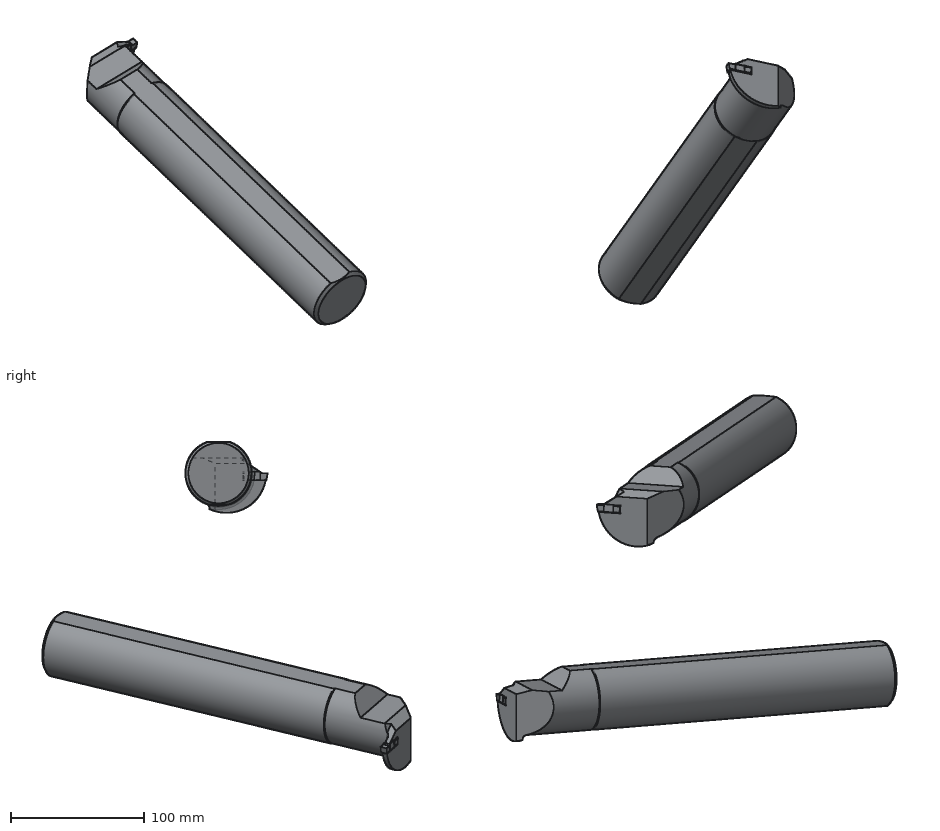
import cadquery as cq
import math

total_length = 300.0
total_width = 62.0

shank_diameter = 50.0
shank_radius = shank_diameter / 2
flat_height = 23.5
end_chamfer = 2.5

neck_diameter = 49.5
neck_radius = neck_diameter / 2
neck_end = 58.8
shoulder_length = 1.0

face_x = 0.3
face_height = 7.5
ledge_height = 11.7
ramp_end = 9.5
ledge_end = 30.0

corner_y = -3.0

blade_radius = 30.0
blade_offset = 6.0
blade_thickness = 4.0
blade_fillet = 2.5

clearance_floor_end = 6.3
clearance_end_lean = 0.8

tip_y = total_width - shank_radius
insert_inner_y = 18.3
insert_top = 1.0
insert_bottom = -5.5
insert_thickness = 5.0
end_clearance = 1.05
head_length = 5.7
head_slope_length = 1.35
bottom_chamfer = 0.75
face_tilt = 1.0

blade_back = face_x + blade_thickness
insert_middle_y = (tip_y + insert_inner_y) / 2
head_top_length = head_length - head_slope_length
clearance_slope = insert_top / head_slope_length
waist_length = tip_y - insert_inner_y - 2 * head_length

tool_size = 4 * shank_radius


def make_bar():
    """Neck, shoulder, shank and end chamfer as one turned profile."""
    profile = [
        (face_x, 0),
        (face_x, neck_radius),
        (neck_end, neck_radius),
        (neck_end + shoulder_length, shank_radius),
        (total_length - end_chamfer, shank_radius),
        (total_length, shank_radius - end_chamfer),
        (total_length, 0),
    ]
    return cq.Workplane("XY").polyline(profile).close().revolve(360, (0, 0), (1, 0))


def make_flat_cuts():
    """Slabs that cut the top flat over the full length and the bottom flat on the shank."""
    shank_length = total_length - neck_end
    top_slab = cq.Workplane("XY").box(
        total_length, tool_size, tool_size, centered=(False, True, False)
    ).translate((0, 0, flat_height))
    bottom_slab = cq.Workplane("XY").box(
        shank_length, tool_size, tool_size, centered=(False, True, False)
    ).translate((neck_end, 0, -flat_height - tool_size))
    return top_slab.union(bottom_slab)


def make_blade():
    """Eccentric disc at the front, with a concave fillet running into the neck."""
    fillet_end = blade_back + blade_fillet
    disc_plane = cq.Workplane("YZ", origin=(face_x, blade_offset, 0))
    plate = disc_plane.circle(blade_radius).extrude(blade_thickness)
    envelope = disc_plane.circle(blade_radius).extrude(blade_thickness + blade_fillet)
    sag = blade_fillet * (1 - math.sqrt(0.5))
    collar = (
        cq.Workplane("XY")
        .moveTo(blade_back, 0)
        .lineTo(blade_back, neck_radius + blade_fillet)
        .threePointArc((blade_back + sag, neck_radius + sag), (fillet_end, neck_radius))
        .lineTo(fillet_end, 0)
        .close()
        .revolve(360, (0, 0), (1, 0))
    )
    return plate.union(collar.intersect(envelope))


def make_top_relief():
    """Space above the front ramp, the flat ledge and the 45 degree rise to the top flat."""
    rise = tool_size
    outline = [
        (face_x, face_height),
        (ramp_end, ledge_height),
        (ledge_end, ledge_height),
        (ledge_end + rise, ledge_height + rise),
        (face_x, ledge_height + rise),
    ]
    return cq.Workplane("XZ").polyline(outline).close().extrude(tool_size / 2, both=True)


def make_corner_cut():
    """45 degree cut from the cutting face to the -Y side."""
    outline = [
        (face_x, corner_y),
        (face_x + tool_size, corner_y - tool_size),
        (face_x, corner_y - tool_size),
    ]
    return cq.Workplane("XY").polyline(outline).close().extrude(tool_size / 2, both=True)


def make_chip_clearance():
    """Prism along the sloping floor above the insert, closed by a wall leaning back to the shank."""
    reach = tool_size / 2
    floor_plane = cq.Plane(
        origin=(0, insert_middle_y + waist_length / 2, insert_top),
        xDir=(1, 0, 0),
        normal=(0, -1, clearance_slope),
    )
    section = [
        (0, 0),
        (clearance_floor_end, 0),
        (clearance_floor_end + reach * clearance_end_lean, reach),
        (0, reach),
    ]
    return cq.Workplane(floor_plane).polyline(section).close().extrude(reach, both=True)


def make_seat():
    """Straight slot through the blade, deepened behind the inner end of the insert."""
    seat_height = insert_top - insert_bottom
    corner = (0, insert_inner_y, insert_bottom)
    slot = cq.Workplane("XY").box(blade_back, tool_size, seat_height, centered=False)
    inner_pocket = cq.Workplane("XY").box(insert_thickness, head_length, seat_height, centered=False)
    return slot.union(inner_pocket).translate(corner)


def make_insert():
    """Double-ended insert; its waist is as deep as the blade and leans back at the front."""
    half = (tip_y - insert_inner_y) / 2
    waist_half = waist_length / 2
    profile = [
        (half, 0),
        (half - head_top_length, 0),
        (waist_half, insert_top),
        (-waist_half, insert_top),
        (head_top_length - half, 0),
        (-half, 0),
        (end_clearance - half, insert_bottom),
        (half - end_clearance, insert_bottom),
    ]
    blank = cq.Workplane("YZ").polyline(profile).close().extrude(insert_thickness)
    blank = blank.faces("<Z").edges("<X").chamfer(bottom_chamfer)
    back_relief = cq.Workplane("XY").box(
        insert_thickness, waist_length, tool_size, centered=(False, True, True)
    ).translate((blade_back, 0, 0))
    front_relief = (
        cq.Workplane("XZ")
        .polyline([(0, insert_bottom), (face_tilt, insert_top), (0, insert_top)])
        .close()
        .extrude(waist_half, both=True)
    )
    return blank.cut(back_relief).cut(front_relief).translate((0, insert_middle_y, 0))


def make_holder():
    """Turned bar with the blade added and all reliefs and the insert seat cut away."""
    holder = make_bar().cut(make_flat_cuts()).union(make_blade())
    holder = holder.cut(make_top_relief()).cut(make_corner_cut())
    return holder.cut(make_chip_clearance()).cut(make_seat())


holder = make_holder()
insert = make_insert()
result = cq.Compound.makeCompound([holder.val(), insert.val()])